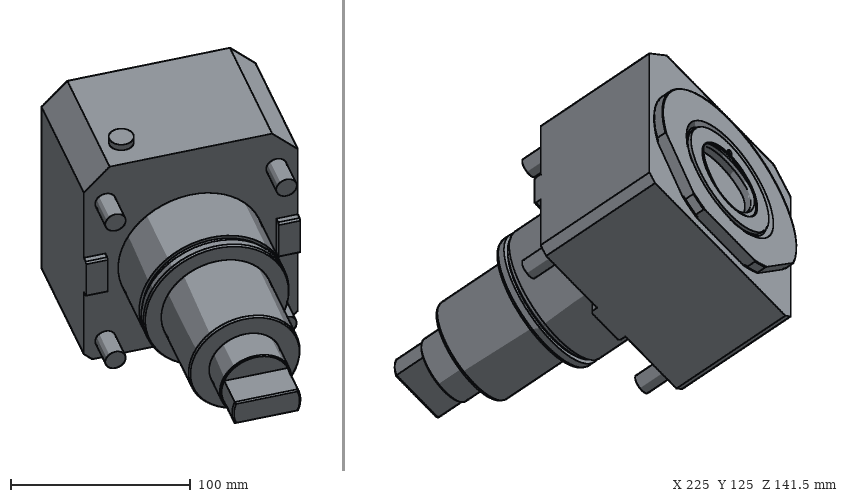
import cadquery as cq
import math


flange_thickness = 7.0
block_end = 85.0
block_half_width = 62.5
block_top = 75.0
block_bottom = -block_half_width
top_corner_cut = 15.0
bottom_corner_cut = 5.0

flange_radius = 59.5
flange_edge_chamfer = 0.5
flange_relief_width = 0.7
bottom_flat_distance = 55.0
side_flat_distance = 55.8
side_flat_angle = 37.5

ring_mouth_radius = 38.5
ring_floor_radius = 35.5
nose_radius = 34.5
ring_depth = 2.2
socket_rim_radius = 24.3
socket_rim_depth = 0.7
socket_rim_taper = 0.5
lobe_mean_radius = 22.5
lobe_amplitude = 1.46
lobe_lead_in_inset = 0.7
lobe_lead_in_depth = 2.0
socket_depth = 7.0
dimple_radius = 1.69
dimple_height = 26.8
dimple_depth = 1.5

shank_radius = 42.5
seal_start = 123.8
seal_centre_x = 125.0
seal_centre_radius = 39.2
seal_section_radius = 2.0
collar_start = 127.5
collar_end = 133.0
collar_chamfer_length = 1.4
collar_chamfer_height = 0.7
sleeve_diameter = 65.0
sleeve_radius = sleeve_diameter / 2
sleeve_end = 184.7
sleeve_chamfer_length = 1.4
sleeve_chamfer_height = 0.7
spindle_radius = 21.0
spindle_end = 205.0
spindle_chamfer = 0.7

tang_end = 225.0
tang_radius = 20.0
tang_thickness = 15.5
tang_chamfer = 1.0

screw_offset = 50.0
screw_diameter = 12.0
screw_radius = screw_diameter / 2
screw_end = 103.7
key_width = 25.0
key_end = 89.5
key_length = 12.5
key_chamfer = 1.1
button_x = 66.8
button_y = -34.9
button_radius = 7.0
button_height = 4.0


def disc(radius, start, end, y=0, z=0):
    """Cylinder along X between two X positions."""
    return cq.Workplane("YZ", origin=(start, y, z)).circle(radius).extrude(end - start)


def housing():
    length = block_end - flange_thickness
    height = block_top - block_bottom
    block = cq.Workplane("XY").box(length, 2 * block_half_width, height, centered=(False, True, False))
    block = block.edges("|X and >Z").chamfer(top_corner_cut)
    block = block.edges("|X and <Z").chamfer(bottom_corner_cut)
    return block.translate((flange_thickness, 0, block_bottom))


def flat_cutter(angle, distance):
    """Block that leaves a flat, its normal at the given angle from +Y towards +Z."""
    size = 2 * flange_radius
    cutter = cq.Workplane("XY").box(size, size, size, centered=(True, False, True))
    return cutter.translate((0, distance, 0)).rotate((0, 0, 0), (1, 0, 0), angle)


def flange():
    rim_end = flange_thickness - flange_relief_width
    rim = disc(flange_radius, 0, rim_end).edges("<X").chamfer(flange_edge_chamfer)
    neck = disc(flange_radius - flange_relief_width, rim_end, flange_thickness)
    plate = rim.union(neck)
    plate = plate.cut(flat_cutter(-90, bottom_flat_distance))
    for angle in (-side_flat_angle, side_flat_angle - 180):
        plate = plate.cut(flat_cutter(angle, side_flat_distance))
    return plate


def shank():
    """Stepped round shank with a seal ring set in the groove before its collar."""
    seal_offset = seal_centre_x - seal_start
    seal_start_radius = seal_centre_radius + math.sqrt(seal_section_radius**2 - seal_offset**2)
    seal_crest = (seal_centre_x, seal_centre_radius + seal_section_radius)
    seal_end = (seal_centre_x + seal_section_radius, seal_centre_radius)
    outline = (
        cq.Workplane("XY")
        .moveTo(block_end, 0)
        .lineTo(block_end, shank_radius)
        .lineTo(seal_start, shank_radius)
        .lineTo(seal_start, seal_start_radius)
        .threePointArc(seal_crest, seal_end)
        .lineTo(collar_start, seal_centre_radius)
        .lineTo(collar_start, shank_radius)
        .lineTo(collar_end - collar_chamfer_length, shank_radius)
        .lineTo(collar_end, shank_radius - collar_chamfer_height)
        .lineTo(collar_end, sleeve_radius)
        .lineTo(sleeve_end - sleeve_chamfer_length, sleeve_radius)
        .lineTo(sleeve_end, sleeve_radius - sleeve_chamfer_height)
        .lineTo(sleeve_end, spindle_radius)
        .lineTo(spindle_end - spindle_chamfer, spindle_radius)
        .lineTo(spindle_end, spindle_radius - spindle_chamfer)
        .lineTo(spindle_end, 0)
        .close()
    )
    return outline.revolve(360, (0, 0, 0), (1, 0, 0))


def tang():
    bar = disc(tang_radius, spindle_end, tang_end)
    slab = cq.Workplane("XY").box(2 * tang_end, 2 * tang_radius, tang_thickness)
    return bar.intersect(slab).faces(">X").chamfer(tang_chamfer)


def screws():
    bodies = cq.Workplane("XY")
    for y in (-screw_offset, screw_offset):
        for z in (-screw_offset, screw_offset):
            bodies = bodies.union(disc(screw_radius, block_end, screw_end, y, z))
    return bodies


def keys():
    """Location keys at the two sides and the bottom of the housing's rear face."""
    key = cq.Workplane("XY").box(key_end - block_end, key_length, key_width, centered=(False, False, True))
    key = key.edges("|Y and >X").chamfer(key_chamfer)
    key = key.translate((block_end, block_half_width - key_length, 0))
    bodies = cq.Workplane("XY")
    for angle in (0, 180, -90):
        bodies = bodies.union(key.rotate((0, 0, 0), (1, 0, 0), angle))
    return bodies


def button():
    return cq.Workplane("XY", origin=(button_x, button_y, block_top)).circle(button_radius).extrude(button_height)


def ring_groove():
    """Groove with a tapered outer wall and a flat floor around the nose."""
    outline = (
        cq.Workplane("XY")
        .moveTo(0, nose_radius)
        .lineTo(0, ring_mouth_radius)
        .lineTo(ring_depth, ring_floor_radius)
        .lineTo(ring_depth, nose_radius)
        .close()
    )
    return outline.revolve(360, (0, 0, 0), (1, 0, 0))


def lobe_outline(x, inset):
    """Three-lobed constant-width curve in the plane at x, with one lobe pointing down."""
    mean_radius = lobe_mean_radius - inset

    def point(t):
        normal = 2 * math.pi * t
        reach = mean_radius + lobe_amplitude * math.sin(3 * normal)
        slope = 3 * lobe_amplitude * math.cos(3 * normal)
        y = reach * math.cos(normal) - slope * math.sin(normal)
        z = reach * math.sin(normal) + slope * math.cos(normal)
        return (y, z)

    return cq.Workplane("YZ", origin=(x, 0, 0)).parametricCurve(point, N=120)


def socket():
    lead_in_end = socket_rim_depth + lobe_lead_in_depth
    rim = disc(socket_rim_radius, 0, socket_rim_depth).edges(">X").chamfer(socket_rim_taper)
    mouth = lobe_outline(socket_rim_depth, 0).val()
    throat = lobe_outline(lead_in_end, lobe_lead_in_inset)
    lead_in = cq.Workplane(cq.Solid.makeLoft([mouth, throat.val()]))
    bore = throat.extrude(socket_depth - lead_in_end)
    return rim.union(lead_in).union(bore)


result = housing()
for body in (flange(), shank(), tang(), screws(), keys(), button()):
    result = result.union(body)
for pocket in (ring_groove(), socket(), disc(dimple_radius, 0, dimple_depth, z=dimple_height)):
    result = result.cut(pocket)